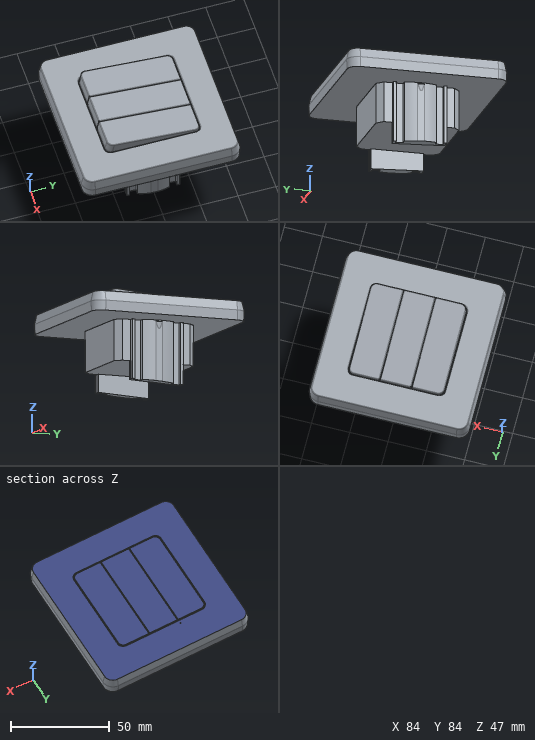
import cadquery as cq
import math


plate_width = 84.0
plate_height = 10.25
plate_seam_z = plate_height / 2
plate_corner_radius = 5.8
lower_inset = 0.3
upper_inset = 1.2
plate_top_rounding = 0.3

opening_width = 50.6
opening_corner_radius = 3.2
opening_depth = 1.2
opening_edge_rounding = 0.3
opening_floor_z = plate_height - opening_depth

rocker_count = 3
rocker_span = 49.7
rocker_gap = 0.25
rocker_low_z = 10.8
rocker_high_z = 15.1
rocker_crease_z = 10.3
rocker_front_lean = 0.9
rocker_foot_flare = 0.2
rocker_corner_radius = 3.0
rocker_rounding = 0.3

housing_width = 43.7
housing_height = 21.25
housing_chamfer = 3.3

bracket_radius = 25.8
bracket_flat_half_width = 1.85
bracket_flat_x = math.sqrt(bracket_radius**2 - bracket_flat_half_width**2)
bracket_bulge_half_width = 8.5
bracket_flange_x = 24.1
bracket_flange_width = 1.5
bracket_half_width = 14.0
bracket_web_x = housing_width / 2
bracket_inner_x = 20.0
bracket_inner_half_width = 13.9
bracket_deep_z = -31.9
bracket_shallow_z = -30.6

lug_radius = 4.4
lug_reach = 0.3
lug_top_z = -0.7
lug_height = 3.5


def tapered_slab(width, corner_radius, height, inset):
    """Rounded square slab whose sides lean inward by the inset over its height."""
    taper = math.degrees(math.atan2(inset, abs(height)))
    outline = cq.Sketch().rect(width, width).vertices().fillet(corner_radius)
    return cq.Workplane("XY").placeSketch(outline).extrude(height, taper=taper)


def box_between(x_range, y_range, z_range):
    """Box given by its low and high limits along each axis."""
    sizes = [high - low for low, high in (x_range, y_range, z_range)]
    corner = (x_range[0], y_range[0], z_range[0])
    return cq.Workplane("XY").box(*sizes, centered=False).translate(corner)


def make_plate():
    lower = tapered_slab(plate_width, plate_corner_radius, -plate_seam_z, lower_inset)
    upper = tapered_slab(plate_width, plate_corner_radius, plate_height - plate_seam_z, upper_inset)
    upper = upper.faces(">Z").edges().fillet(plate_top_rounding)
    plate = lower.union(upper).translate((0, 0, plate_seam_z))
    opening = (
        cq.Workplane("XY", origin=(0, 0, opening_floor_z))
        .rect(opening_width, opening_width)
        .extrude(opening_depth)
        .edges("|Z")
        .fillet(opening_corner_radius)
    )
    plate = plate.cut(opening)
    return plate.faces(">Z").wires(cq.selectors.LengthNthSelector(0)).fillet(opening_edge_rounding)


def make_rocker(index):
    """One rocker; the outermost two have rounded outer corners."""
    pitch = rocker_span / rocker_count
    left = -rocker_span / 2 + index * pitch
    right = left + pitch
    is_first = index == 0
    is_last = index == rocker_count - 1
    if not is_first:
        left += rocker_gap / 2
    if not is_last:
        right -= rocker_gap / 2

    back_y = rocker_span / 2
    crease_y = -back_y
    rocker = (
        cq.Workplane("YZ", origin=(left, 0, 0))
        .moveTo(crease_y - rocker_foot_flare, opening_floor_z)
        .lineTo(back_y, opening_floor_z)
        .lineTo(back_y, rocker_low_z)
        .lineTo(crease_y + rocker_front_lean, rocker_high_z)
        .lineTo(crease_y, rocker_crease_z)
        .close()
        .extrude(right - left)
    )
    for is_end, side in ((is_first, "<X"), (is_last, ">X")):
        if is_end:
            rocker = rocker.faces(side).edges("(not <Z) and (not >Z)").fillet(rocker_corner_radius)
    return rocker.faces(">Z").edges().fillet(rocker_rounding)


def make_housing():
    return (
        cq.Workplane("XY")
        .rect(housing_width, housing_width)
        .extrude(-housing_height)
        .edges("|Z")
        .chamfer(housing_chamfer)
    )


def make_bracket():
    """Bracket of the +X side, with its underside sloping along Y."""
    depth = (bracket_deep_z, 0)
    bulge_y = (-bracket_bulge_half_width, bracket_bulge_half_width)
    disc = cq.Workplane("XY").circle(bracket_radius).extrude(bracket_deep_z)
    bulge = box_between((bracket_inner_x, bracket_flat_x), bulge_y, depth).intersect(disc)

    inner_y = (-bracket_inner_half_width, bracket_inner_half_width)
    bracket = bulge.union(box_between((bracket_inner_x, bracket_web_x), inner_y, depth))

    flange_inner_y = bracket_half_width - bracket_flange_width
    for flange_y in ((-bracket_half_width, -flange_inner_y), (flange_inner_y, bracket_half_width)):
        bracket = bracket.union(box_between((bracket_web_x, bracket_flange_x), flange_y, depth))

    sloped_profile = (
        cq.Workplane("YZ")
        .moveTo(-bracket_half_width, 0)
        .lineTo(-bracket_half_width, bracket_shallow_z)
        .lineTo(bracket_half_width, bracket_deep_z)
        .lineTo(bracket_half_width, 0)
        .close()
        .extrude(bracket_radius)
    )
    return bracket.intersect(sloped_profile)


def make_lug():
    """Cone narrowing downward until it dies into the bracket flat of the +X side."""
    lug_tip_radius = lug_radius - lug_reach
    lug_axis_x = bracket_flat_x - lug_tip_radius
    cone = cq.Solid.makeCone(
        lug_tip_radius,
        lug_radius,
        lug_height,
        pnt=cq.Vector(lug_axis_x, 0, lug_top_z - lug_height),
        dir=cq.Vector(0, 0, 1),
    )
    return cq.Workplane("XY").add(cone)


result = make_plate().union(make_housing())
for rocker_index in range(rocker_count):
    result = result.union(make_rocker(rocker_index))

claw = make_bracket().union(make_lug())
result = result.union(claw).union(claw.mirror("YZ"))